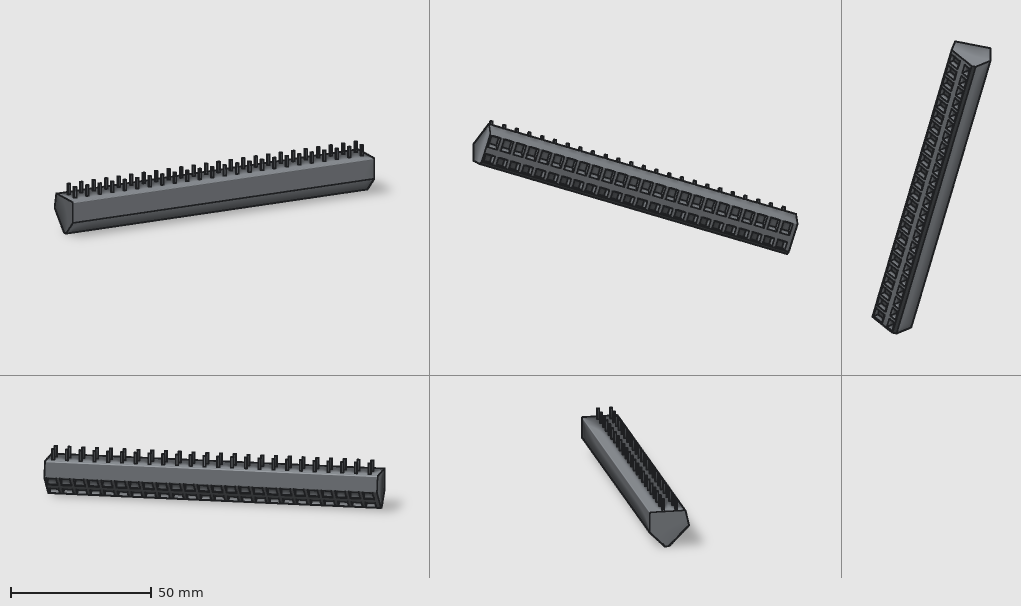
import cadquery as cq
import math

WIDTH = 14.3
LENGTH = 121.0
BODY_HEIGHT = 13.1
LEFT_CORNER_Z = 7.4
LEFT_DRAFT = 1.3
RIGHT_CORNER_Z = 5.5
EDGE_RADIUS = 0.5
CORNER_TRIM = 0.05

TOTAL_HEIGHT = 17.0
PIN_X = 0.7
PIN_Y = 0.8
PIN_COLUMNS = (4.4, 9.1)
PIN_ROOT = 0.6

POSITIONS = 24
ROW_SPAN = 115.1
PITCH = ROW_SPAN / (POSITIONS - 1)
FIRST_MARGIN = 2.4
position_ys = [LENGTH - FIRST_MARGIN - PITCH * i for i in range(POSITIONS)]

OPENING_LENGTH = 3.6
UPPER_DEPTH = 2.3
LOWER_DEPTH = 3.6
UPPER_LOW_Z = 4.0
UPPER_HIGH_Z = 7.0
UPPER_LIP = 0.4
UPPER_WALL_ANGLE = 78.0
LOWER_LOW_Z = 0.2
LOWER_HIGH_Z = 2.2


def slope_point(z, depth=0.0):
    """Point on the 45 degree lower left slope at height z, moved square into the housing by depth."""
    step = depth / math.sqrt(2)
    return (LEFT_CORNER_Z - CORNER_TRIM - z + step, z + step)


def make_housing():
    outline = [
        (LEFT_DRAFT - CORNER_TRIM, BODY_HEIGHT),
        slope_point(LEFT_CORNER_Z),
        slope_point(0),
        (WIDTH - RIGHT_CORNER_Z, 0),
        (WIDTH, RIGHT_CORNER_Z),
        (WIDTH, BODY_HEIGHT),
    ]
    body = cq.Workplane("XZ").polyline(outline).close().extrude(-LENGTH)
    body = body.edges("|Y").edges(">Z").fillet(EDGE_RADIUS)
    return body.edges("|Y").edges("<X").fillet(EDGE_RADIUS)


def make_openings(section):
    half_length = OPENING_LENGTH / 2
    opening = cq.Workplane("XZ").polyline(section).close().extrude(half_length, both=True).val()
    return [opening.translate(cq.Vector(0, y, 0)) for y in position_ys]


def upper_section():
    lip_x, lip_z = slope_point(UPPER_LOW_Z, UPPER_LIP)
    rise = math.tan(math.radians(UPPER_WALL_ANGLE))
    run = math.sqrt(2) * (UPPER_DEPTH - UPPER_LIP) / (1 + rise)
    wall_end = (lip_x + run, lip_z + rise * run)
    return [
        slope_point(UPPER_LOW_Z),
        slope_point(UPPER_HIGH_Z),
        slope_point(UPPER_HIGH_Z, UPPER_DEPTH),
        wall_end,
        (lip_x, lip_z),
    ]


def lower_section():
    return [
        slope_point(LOWER_LOW_Z),
        slope_point(LOWER_HIGH_Z),
        slope_point(LOWER_HIGH_Z, LOWER_DEPTH),
        slope_point(LOWER_LOW_Z, LOWER_DEPTH),
    ]


def make_pins():
    points = [(x, y) for x in PIN_COLUMNS for y in position_ys]
    root_plane = cq.Workplane("XY").workplane(offset=BODY_HEIGHT - PIN_ROOT)
    return root_plane.pushPoints(points).rect(PIN_X, PIN_Y).extrude(TOTAL_HEIGHT - BODY_HEIGHT + PIN_ROOT)


openings = cq.Compound.makeCompound(make_openings(upper_section()) + make_openings(lower_section()))
result = make_housing().cut(cq.Workplane(obj=openings)).union(make_pins())